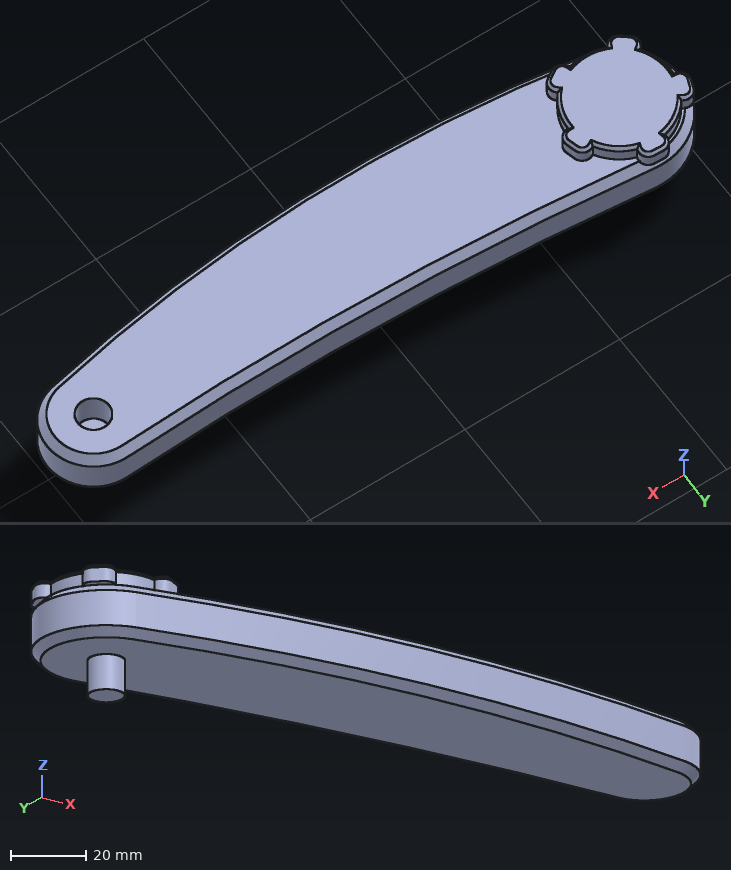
import cadquery as cq
import math

END_SPACING = 170.0
PIVOT_END_RADIUS = 20.0
TIP_END_RADIUS = 15.0
ARM_THICKNESS = 15.0
ARM_CHAMFER = 2.5
CONCAVE_SIDE_RADIUS = 1000.0
CONVEX_SIDE_RADIUS = 460.0

PIN_DIAMETER = 10.0
PIN_LENGTH = 10.0
HOLE_DIAMETER = 10.0
HOLE_DEPTH = 10.0

KNOB_HEIGHT = 5.0
KNOB_BASE_RADIUS = 16.5
KNOB_CHAMFER = 1.0
LOBE_COUNT = 5
LOBE_TIP_RADIUS = 20.0
LOBE_WEDGE_ANGLE = 30.0
LOBE_CORNER_RADIUS = 3.0
FIRST_LOBE_ANGLE = 87.0


def blend_arc(radius, side, bulge):
    """Points of a side arc tangent to both end circles: pivot end, middle, tip end.

    side is +1 for the +Y edge and -1 for the -Y edge. bulge is +1 for an arc
    that encloses the end circles and -1 for an arc that curves in between them.
    """
    to_pivot = radius - bulge * PIVOT_END_RADIUS
    to_tip = radius - bulge * TIP_END_RADIUS
    center_x = (to_pivot**2 - to_tip**2 + END_SPACING**2) / (2 * END_SPACING)
    center_y = -side * bulge * math.sqrt(to_pivot**2 - center_x**2)

    def touch_point(end_x, end_radius, distance):
        reach = -bulge * end_radius / distance
        return (end_x + reach * (center_x - end_x), reach * center_y)

    start = touch_point(0, PIVOT_END_RADIUS, to_pivot)
    end = touch_point(END_SPACING, TIP_END_RADIUS, to_tip)
    middle_x = (start[0] + end[0]) / 2
    rise = math.sqrt(radius**2 - (middle_x - center_x) ** 2)
    middle = (middle_x, center_y + side * bulge * rise)
    return start, middle, end


def make_arm():
    top_start, top_middle, top_end = blend_arc(CONCAVE_SIDE_RADIUS, side=1, bulge=-1)
    low_start, low_middle, low_end = blend_arc(CONVEX_SIDE_RADIUS, side=-1, bulge=1)
    return (
        cq.Workplane("XY")
        .moveTo(*top_start)
        .threePointArc(top_middle, top_end)
        .threePointArc((END_SPACING + TIP_END_RADIUS, 0), low_end)
        .threePointArc(low_middle, low_start)
        .threePointArc((-PIVOT_END_RADIUS, 0), top_start)
        .close()
        .extrude(ARM_THICKNESS)
        .faces("<Z or >Z")
        .chamfer(ARM_CHAMFER)
    )


def make_lobe(angle):
    """Wedge that widens from the knob axis to a flat tip with rounded corners."""
    half_width = LOBE_TIP_RADIUS * math.tan(math.radians(LOBE_WEDGE_ANGLE / 2))
    return (
        cq.Workplane("XY")
        .polyline([(0, 0), (LOBE_TIP_RADIUS, -half_width), (LOBE_TIP_RADIUS, half_width)])
        .close()
        .extrude(KNOB_HEIGHT)
        .edges("|Z and >X")
        .fillet(LOBE_CORNER_RADIUS)
        .faces(">Z")
        .chamfer(KNOB_CHAMFER)
        .rotate((0, 0, 0), (0, 0, 1), angle)
    )


def make_knob():
    knob = cq.Workplane("XY").circle(KNOB_BASE_RADIUS).extrude(KNOB_HEIGHT)
    knob = knob.faces(">Z").chamfer(KNOB_CHAMFER)
    for index in range(LOBE_COUNT):
        knob = knob.union(make_lobe(FIRST_LOBE_ANGLE + index * 360 / LOBE_COUNT))
    return knob.translate((0, 0, ARM_THICKNESS))


def make_pin():
    return cq.Workplane("XY").circle(PIN_DIAMETER / 2).extrude(-PIN_LENGTH)


def make_hole():
    hole = cq.Workplane("XY").workplane(offset=ARM_THICKNESS).center(END_SPACING, 0)
    return hole.circle(HOLE_DIAMETER / 2).extrude(-HOLE_DEPTH)


result = make_arm().cut(make_hole()).union(make_pin()).union(make_knob())